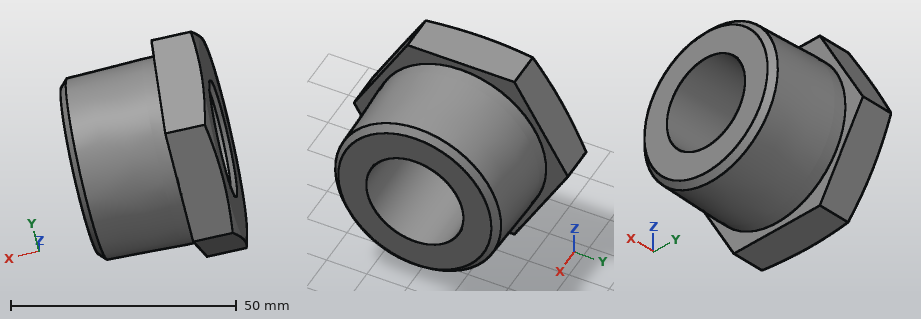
import cadquery as cq
import math

across_flats = 46.0
head_length = 10.0
head_face_diameter = 45.6
head_chamfer_angle = 15.0

total_length = 32.5
collar_diameter = 42.31
collar_length = 3.3
taper_ratio = 1 / 16
end_chamfer = 1.6

bore_diameter = 24.12
countersink_diameter = 26.44
countersink_angle = 45.0

across_corners = across_flats / math.cos(math.radians(30))


def revolve_about_x(profile):
    """Revolve a closed (x, radius) outline about the X axis."""
    return cq.Workplane("XZ").polyline(profile).close().revolve(360, (0, 0, 0), (1, 0, 0))


def make_head():
    """Hexagon with flats facing up and down, its front corners turned off by a cone."""
    hexagon = cq.Workplane("YZ").polygon(6, across_corners).extrude(head_length)
    face_radius = head_face_diameter / 2
    envelope_radius = across_corners
    cone_depth = (envelope_radius - face_radius) * math.tan(math.radians(head_chamfer_angle))
    envelope = revolve_about_x([
        (0, 0),
        (0, face_radius),
        (cone_depth, envelope_radius),
        (total_length, envelope_radius),
        (total_length, 0),
    ])
    return hexagon.intersect(envelope)


def make_shank():
    """Cylindrical collar, then a taper ending in a 45 degree chamfer."""
    collar_radius = collar_diameter / 2
    taper_start = head_length + collar_length
    taper_end = total_length - end_chamfer
    taper_end_radius = collar_radius - (taper_end - taper_start) * taper_ratio / 2
    return revolve_about_x([
        (head_length, 0),
        (head_length, collar_radius),
        (taper_start, collar_radius),
        (taper_end, taper_end_radius),
        (total_length, taper_end_radius - end_chamfer),
        (total_length, 0),
    ])


def make_bore():
    """Through bore with a countersunk mouth on the head face."""
    bore_radius = bore_diameter / 2
    mouth_radius = countersink_diameter / 2
    countersink_depth = (mouth_radius - bore_radius) / math.tan(math.radians(countersink_angle))
    return revolve_about_x([
        (0, 0),
        (0, mouth_radius),
        (countersink_depth, bore_radius),
        (total_length, bore_radius),
        (total_length, 0),
    ])


result = make_head().union(make_shank()).cut(make_bore())